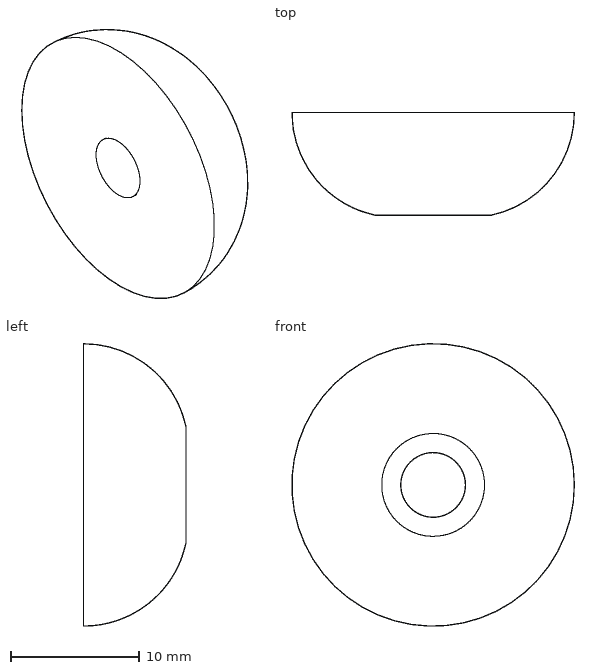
import cadquery as cq
import math

rim_radius = 11.0
height = 8.0
nose_radius = 4.5

hole_radius = 2.5
counterbore_radius = 4.0
counterbore_depth = 2.0

radial_run = rim_radius - nose_radius
side_radius = (radial_run**2 + height**2) / (2 * radial_run)
side_center = rim_radius - side_radius
mid_angle = math.atan2(height, nose_radius - side_center) / 2
side_mid = (
    side_center + side_radius * math.cos(mid_angle),
    -side_radius * math.sin(mid_angle),
)

floor_y = counterbore_depth - height
half_section = (
    cq.Workplane("XY")
    .moveTo(hole_radius, 0)
    .lineTo(rim_radius, 0)
    .threePointArc(side_mid, (nose_radius, -height))
    .lineTo(counterbore_radius, -height)
    .lineTo(counterbore_radius, floor_y)
    .lineTo(hole_radius, floor_y)
    .close()
)
result = half_section.revolve(360, (0, 0, 0), (0, 1, 0))